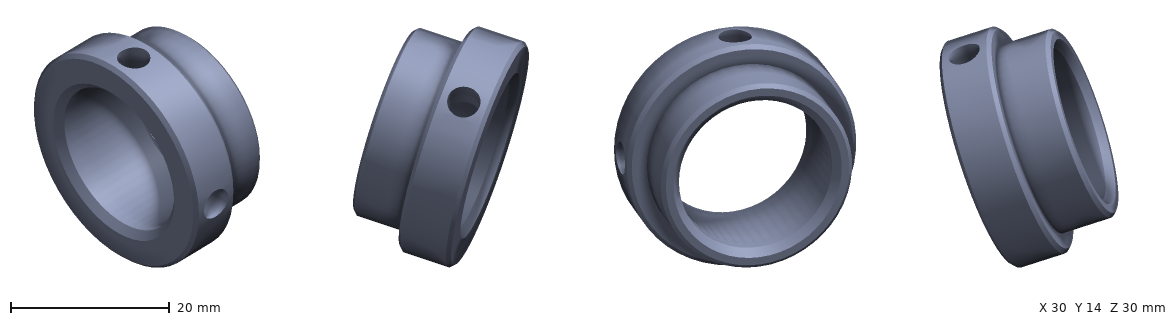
import cadquery as cq

flange_diameter = 30.0
hub_diameter = 25.0
bore_diameter = 20.0
total_length = 14.0
flange_length = 7.0
edge_chamfer = 0.5
bore_chamfer = 1.0
screw_hole_diameter = 4.2

flange_radius = flange_diameter / 2
hub_radius = hub_diameter / 2
bore_radius = bore_diameter / 2
screw_hole_y = flange_length / 2


def ring_body():
    """Flanged ring, revolved from its half section in the XY plane."""
    half_section = [
        (bore_radius + bore_chamfer, 0),
        (flange_radius - edge_chamfer, 0),
        (flange_radius, edge_chamfer),
        (flange_radius, flange_length - edge_chamfer),
        (flange_radius - edge_chamfer, flange_length),
        (hub_radius, flange_length),
        (hub_radius, total_length - edge_chamfer),
        (hub_radius - edge_chamfer, total_length),
        (bore_radius + bore_chamfer, total_length),
        (bore_radius, total_length - bore_chamfer),
        (bore_radius, bore_chamfer),
    ]
    return cq.Workplane("XY").polyline(half_section).close().revolve(360, (0, 0, 0), (0, 1, 0))


def screw_hole(direction):
    """Radial cutter from the ring axis outward, through one wall of the flange."""
    start = cq.Vector(0, screw_hole_y, 0)
    return cq.Solid.makeCylinder(screw_hole_diameter / 2, flange_diameter, start, direction)


result = ring_body()

for hole_direction in (cq.Vector(0, 0, 1), cq.Vector(1, 0, 0)):
    result = result.cut(cq.Workplane(obj=screw_hole(hole_direction)))